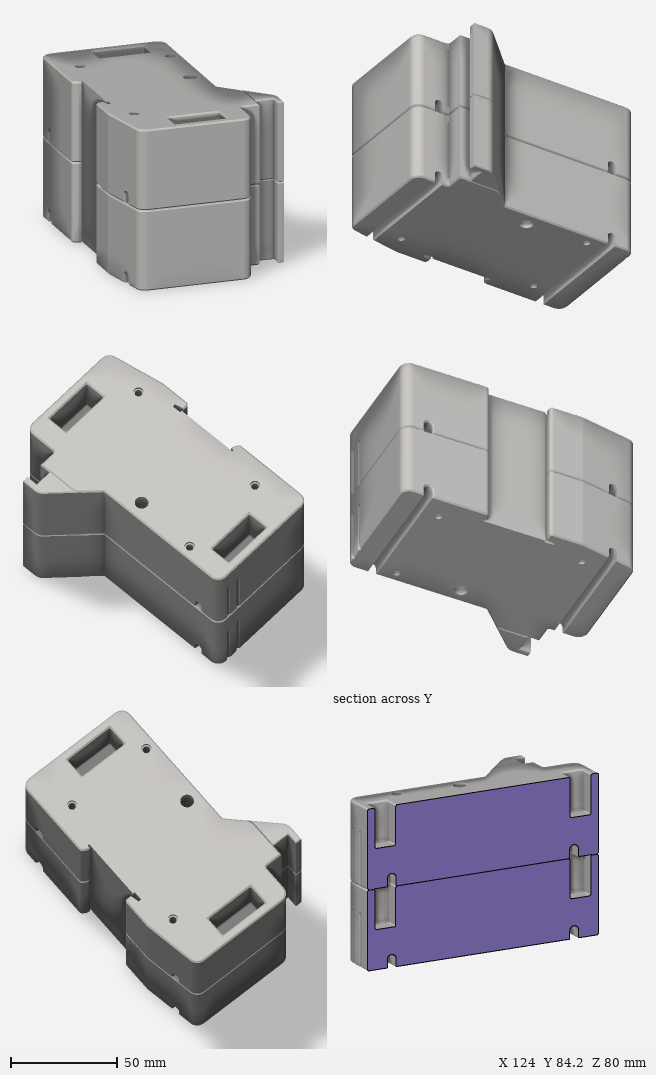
import cadquery as cq
import math

module_count = 2
width = 124.0
stack_height = 80.0
module_height = stack_height / module_count
edge_chamfer = 0.7
corner_radius = 5.0

body_depth = 62.2
tower_top = 71.9
tower_right = 105.5
root_fillet = 1.0
ramp_start = 73.5
tower_corner_radius = 6.8
slope_start = 93.7
slope_angle = 10.0
slope_end = (width - slope_start) * math.tan(math.radians(slope_angle))

rail_left_foot = 44.3
rail_left = 45.7
rail_left_height = 2.9
rail_left_fillet = 2.0
rail_right = 76.6
rail_right_fillet = 1.7
rail_mouth_depth = 3.7
lip_top = 4.3
seat_depth = 5.2
seat_left = 44.1
notch_right = 81.3
notch_depth = 6.3
notch_floor_right = 4.7

screw_holes = [(23.7, 56.8), (23.7, 11.5), (98.6, 11.5)]
screw_hole_diameter = 3.5
counterbore_diameter = 4.8
counterbore_depth = 1.2
pivot_hole_center = (56.4, 54.8)
pivot_hole_diameter = 6.5

pocket_inset = 3.6
pocket_width = 12.3
pocket_front = 23.9
pocket_length = 27.3
pocket_depth = module_height / 2
pocket_rounding = 0.7
rim_angle = 45.0

wire_slot_inset = 13.1
wire_slot_width = 4.5
wire_slot_height = 6.3
wire_slot_chamfer = 0.7

groove_positions = [48.7, 55.4]
groove_radius = 1.1
groove_height = 27.3

cheek_thickness = 4.2
insert_height = module_height - 2 * cheek_thickness
lever_top = 84.2
lever_post_right = 99.7
lever_hook_thickness = 3.3
lever_corner_radius = 5.6
lever_chamfer = 0.5


def ramp_x(y):
    """X of the 45 degree ramp at depth y."""
    return ramp_start + y - body_depth


def upright_edge(x, y):
    """Selector for the vertical edge that passes through (x, y)."""
    reach = 0.01
    low_corner = (x - reach, y - reach, -reach)
    high_corner = (x + reach, y + reach, module_height + reach)
    return cq.selectors.BoxSelector(low_corner, high_corner)


def round_corners(solid, corners, radius):
    for x, y in corners:
        solid = solid.edges("|Z").edges(upright_edge(x, y)).fillet(radius)
    return solid


def make_tower():
    """Ramped tower rising from the +Y face, with its ramp corner rounded."""
    tower = (
        cq.Workplane("XY")
        .moveTo(ramp_start, body_depth)
        .lineTo(ramp_x(tower_top), tower_top)
        .lineTo(tower_right, tower_top)
        .lineTo(tower_right, body_depth)
        .close()
        .extrude(module_height)
    )
    return round_corners(tower, [(ramp_x(tower_top), tower_top)], tower_corner_radius)


def make_shell():
    """Housing block with its outline rounded and its top and bottom rims chamfered."""
    block = (
        cq.Workplane("XY")
        .polyline(
            [
                (0, 0),
                (rail_left_foot, 0),
                (rail_left, rail_left_height),
                (rail_left, rail_mouth_depth),
                (rail_right, rail_mouth_depth),
                (rail_right, 0),
                (slope_start, 0),
                (width, slope_end),
                (width, body_depth),
                (0, body_depth),
            ]
        )
        .close()
        .extrude(module_height)
    )
    outer_corners = [(0, 0), (slope_start, 0), (width, slope_end), (width, body_depth), (0, body_depth)]
    block = round_corners(block, outer_corners, corner_radius)
    block = round_corners(block, [(rail_left_foot, 0)], rail_left_fillet)
    block = round_corners(block, [(rail_right, 0)], rail_right_fillet)
    shell = block.union(make_tower())
    shell = round_corners(shell, [(ramp_start, body_depth), (tower_right, body_depth)], root_fillet)
    return shell.faces("<Z or >Z").edges().chamfer(edge_chamfer)


def rail_seat():
    """Undercut seat behind the rail mouth, with a notch behind the right lip."""
    return (
        cq.Workplane("XY")
        .polyline(
            [
                (seat_left, lip_top),
                (rail_left, lip_top),
                (rail_left, rail_mouth_depth),
                (rail_right, rail_mouth_depth),
                (notch_right, notch_floor_right),
                (notch_right, notch_depth),
                (rail_right, notch_depth),
                (rail_right, seat_depth),
                (seat_left, seat_depth),
            ]
        )
        .close()
        .extrude(module_height)
    )


def pocket(left):
    """Pocket with rounded corners and floor and a chamfered rim."""
    floor = module_height - pocket_depth
    well = (
        cq.Workplane("XY")
        .box(
            pocket_width - 2 * pocket_rounding,
            pocket_length - 2 * pocket_rounding,
            pocket_depth,
            centered=False,
        )
        .translate((left + pocket_rounding, pocket_front + pocket_rounding, floor))
        .edges("|Z or <Z")
        .fillet(pocket_rounding)
    )
    mouth_center = (left + pocket_width / 2, pocket_front + pocket_length / 2, module_height)
    rim = (
        cq.Workplane("XY", origin=mouth_center)
        .rect(pocket_width, pocket_length)
        .extrude(-pocket_rounding, taper=rim_angle)
    )
    return well.union(rim)


def arch_profile(plane, x, radius, spring_height):
    """Closed profile with a half-round top of the given radius."""
    return (
        plane.moveTo(x - radius, 0)
        .lineTo(x - radius, spring_height)
        .threePointArc((x, spring_height + radius), (x + radius, spring_height))
        .lineTo(x + radius, 0)
        .close()
    )


def wire_slot(x):
    """Arched slot that runs along Y through the underside."""
    radius = wire_slot_width / 2
    spring_height = wire_slot_height - radius
    return arch_profile(cq.Workplane("XZ"), x, radius, spring_height).extrude(-body_depth)


def wire_slot_mouth(x):
    """Flare at the -Y end of a wire slot."""
    radius = wire_slot_width / 2
    spring_height = wire_slot_height - radius
    flare = arch_profile(cq.Workplane("XZ"), x, radius + wire_slot_chamfer, spring_height)
    flare = arch_profile(flare.workplane(offset=-wire_slot_chamfer), x, radius, spring_height)
    return flare.loft(ruled=True)


def groove(y):
    """Half-round vertical groove in the -X face with a ball end."""
    ball_center = groove_height - groove_radius
    shaft = cq.Workplane("XY").center(0, y).circle(groove_radius).extrude(ball_center)
    ball = cq.Workplane("XY").sphere(groove_radius).translate((0, y, ball_center))
    return shaft.union(ball)


def insert_band():
    """Space between the two cheeks, above the +Y face of the block."""
    return (
        cq.Workplane("XY")
        .box(width, lever_top - body_depth, insert_height, centered=False)
        .translate((0, body_depth, cheek_thickness))
    )


def make_insert():
    """Block that fills the tower between the two cheeks."""
    return make_tower().intersect(insert_band())


def make_housing():
    housing = make_shell().cut(rail_seat()).cut(insert_band())
    top = cq.Workplane("XY", origin=(0, 0, module_height))
    for center in screw_holes:
        hole = top.center(*center).circle(screw_hole_diameter / 2).extrude(-module_height)
        counterbore = top.center(*center).circle(counterbore_diameter / 2).extrude(-counterbore_depth)
        housing = housing.cut(hole).cut(counterbore)
    housing = housing.cut(top.center(*pivot_hole_center).circle(pivot_hole_diameter / 2).extrude(-module_height))
    for left in (pocket_inset, width - pocket_inset - pocket_width):
        housing = housing.cut(pocket(left))
    for x in (wire_slot_inset, width - wire_slot_inset):
        housing = housing.cut(wire_slot(x))
    housing = housing.cut(wire_slot_mouth(wire_slot_inset))
    for y in groove_positions:
        housing = housing.cut(groove(y))
    return housing


def make_lever():
    """Hooked lever that continues the ramp above the tower."""
    base = tower_top - tower_corner_radius
    hook_bottom = lever_top - lever_hook_thickness
    lever = (
        cq.Workplane("XY")
        .polyline(
            [
                (ramp_x(base), base),
                (ramp_x(lever_top), lever_top),
                (tower_right, lever_top),
                (tower_right, hook_bottom),
                (lever_post_right, hook_bottom),
                (lever_post_right, base),
            ]
        )
        .close()
        .extrude(module_height)
    )
    lever = round_corners(lever, [(ramp_x(lever_top), lever_top)], lever_corner_radius)
    return lever.faces("<Z or >Z").edges().chamfer(lever_chamfer).cut(make_tower())


housing = make_housing()
insert = make_insert()
lever = make_lever()

bodies = []
for index in range(module_count):
    lift = cq.Vector(0, 0, index * module_height)
    for body in (housing, insert, lever):
        bodies.append(body.val().translate(lift))

result = cq.Compound.makeCompound(bodies)